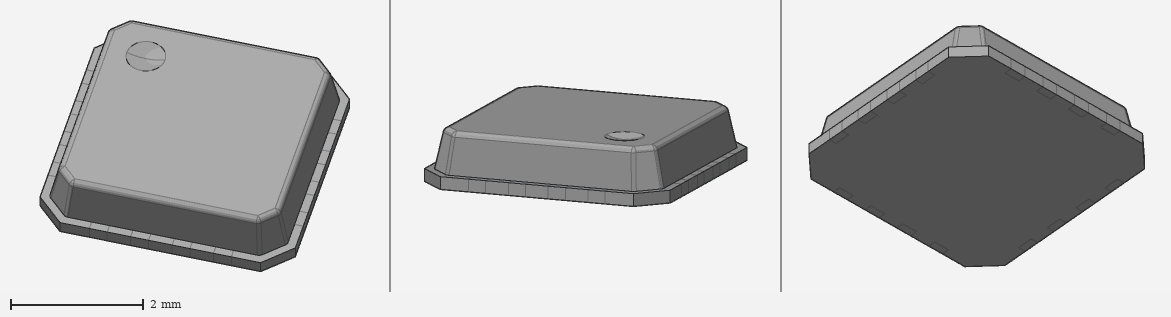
import cadquery as cq

width = 4.0
height = 0.85
base_thickness = 0.2
base_corner = 0.43

leads_per_side = 4
lead_pitch = 0.65
lead_width = 0.28

lid_inset = 0.135
lid_corner = 0.34
lid_taper = 12.0
lid_edge_radius = 0.1

dimple_offset = 1.05
dimple_radius = 0.3
dimple_depth = 0.055


def base_plate():
    """Square plate with its four upright corners cut off."""
    plate = cq.Workplane("XY").box(width, width, base_thickness, centered=(True, True, False))
    return plate.edges("|Z").chamfer(base_corner)


def leads():
    """Terminals level with the plate, reaching from its rim to the foot of the lid."""
    row_start = -lead_pitch * (leads_per_side - 1) / 2
    row_places = [row_start + lead_pitch * i for i in range(leads_per_side)]
    row = (
        cq.Workplane("XY")
        .pushPoints([(place, (lid_inset - width) / 2) for place in row_places])
        .box(lead_width, lid_inset, base_thickness, centered=(True, True, False))
    )
    return [row.rotate((0, 0, 0), (0, 0, 1), turn) for turn in (0, 90, 180, 270)]


def lid():
    """Eight-sided tapered block, rounded on every edge except those on the plate."""
    half = width / 2 - lid_inset
    flat = half - lid_corner
    outline = [
        (half, -flat), (half, flat), (flat, half), (-flat, half),
        (-half, flat), (-half, -flat), (-flat, -half), (flat, -half),
    ]
    block = (
        cq.Workplane("XY", origin=(0, 0, base_thickness))
        .polyline(outline)
        .close()
        .extrude(height - base_thickness, taper=lid_taper)
    )
    return block.edges("not <Z").fillet(lid_edge_radius)


def dimple():
    """Ball whose lower cap sinks the dimple into the lid top."""
    ball_radius = (dimple_radius**2 + dimple_depth**2) / (2 * dimple_depth)
    ball_center = (-dimple_offset, dimple_offset, height - dimple_depth + ball_radius)
    ball = cq.Workplane("XY").sphere(ball_radius)
    return ball.rotate((0, 0, 0), (0, 1, 0), 90).translate(ball_center)


result = base_plate()
for lead_row in leads():
    result = result.union(lead_row, clean=False)
result = result.union(lid(), clean=False).cut(dimple(), clean=False)